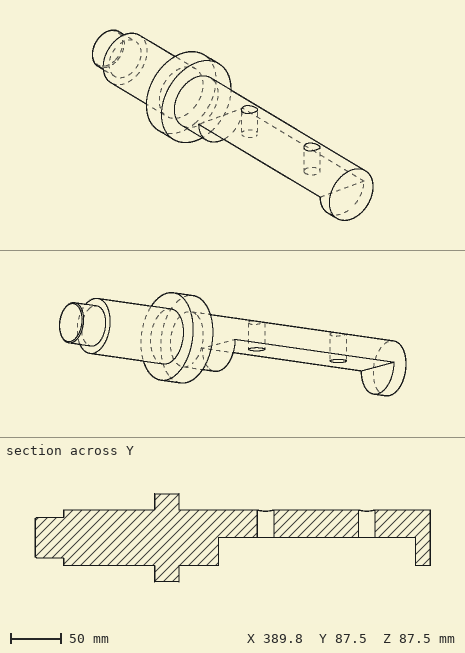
import cadquery as cq

total_length = 389.8
tip_diameter = 40.0
tip_length = 28.0
tip_chamfer = 1.0
shaft_diameter = 55.0

flange_diameter = 87.5
flange_start = 117.7
flange_width = 24.0

notch_start = 181.0
foot_length = 15.0
notch_length = total_length - foot_length - notch_start

hole_diameter = 16.0
first_hole_x = 227.3
hole_spacing = 99.8
hole_count = 2


def cylinder(start, length, diameter):
    """Solid cylinder along +X, centred on the shaft axis."""
    return cq.Workplane("YZ", origin=(start, 0, 0)).circle(diameter / 2).extrude(length)


tip = cylinder(0, tip_length, tip_diameter).faces("<X").chamfer(tip_chamfer)
shaft = cylinder(tip_length, total_length - tip_length, shaft_diameter)
flange = cylinder(flange_start, flange_width, flange_diameter)
body = tip.union(shaft).union(flange)

notch = cq.Workplane("XY").box(
    notch_length, shaft_diameter, shaft_diameter, centered=(False, True, False)
).translate((notch_start, 0, -shaft_diameter))

hole_centers = [(first_hole_x + i * hole_spacing, 0) for i in range(hole_count)]
holes = cq.Workplane("XY").pushPoints(hole_centers).circle(hole_diameter / 2).extrude(shaft_diameter)

result = body.cut(notch).cut(holes)